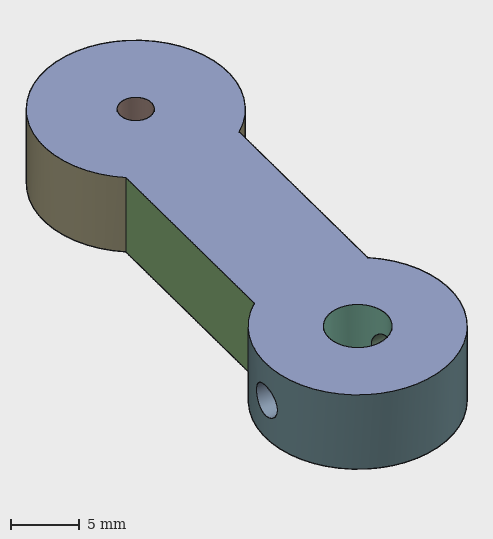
import cadquery as cq

length = 45.95
end_diameter = 16.0
thickness = 7.0
web_width = 9.85
pivot_hole_diameter = 2.7
shaft_hole_diameter = 5.0
cross_hole_diameter = 2.8

end_offset = (length - end_diameter) / 2


def vertical_cylinder(x, diameter):
    """Full-thickness cylinder standing on the base plane at x."""
    return cq.Workplane("XY").center(x, 0).circle(diameter / 2).extrude(thickness)


web = cq.Workplane("XY").box(2 * end_offset, web_width, thickness, centered=(True, True, False))
body = web.union(vertical_cylinder(-end_offset, end_diameter))
body = body.union(vertical_cylinder(end_offset, end_diameter))

body = body.cut(vertical_cylinder(-end_offset, pivot_hole_diameter))
body = body.cut(vertical_cylinder(end_offset, shaft_hole_diameter))

cross_hole = (
    cq.Workplane("XZ")
    .center(end_offset, thickness / 2)
    .circle(cross_hole_diameter / 2)
    .extrude(end_diameter / 2, both=True)
)
result = body.cut(cross_hole)